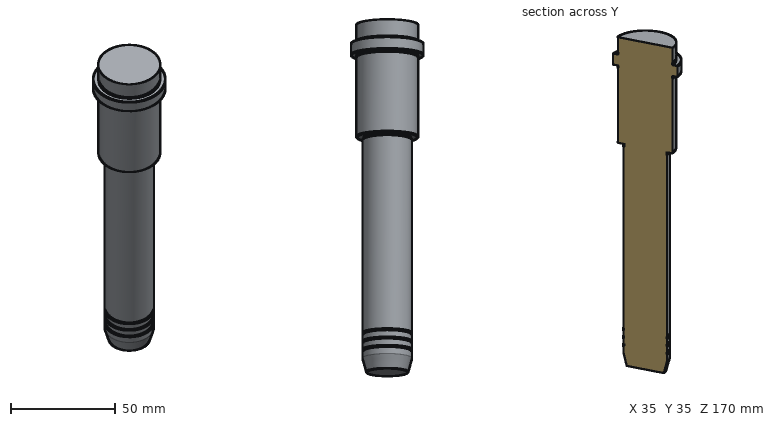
import cadquery as cq
import math

total_length = 170.0
head_length = 9.0
flange_thickness = 6.0
sleeve_end_depth = 55.0
taper_length = 7.0
taper_angle = 15.0

flange_diameter = 35.0
body_diameter = 30.0
shaft_diameter = 24.0

relief_width = 1.0
relief_depth = 0.5
neck_length = 1.0
neck_depth = 0.5
ring_groove_width = 1.0
ring_groove_depth = 0.5
ring_groove_count = 3
ring_groove_pitch = 4.0
first_ring_groove_height = 10.7
flange_chamfer = 0.3
sleeve_chamfer = 0.5
tip_chamfer = 0.3

flange_top = total_length - head_length
flange_bottom = flange_top - flange_thickness
sleeve_bottom = total_length - sleeve_end_depth


def cylinder(diameter, bottom, top):
    return cq.Workplane("XY").workplane(offset=bottom).circle(diameter / 2).extrude(top - bottom)


def revolve_profile(points):
    """Solid of revolution about Z from an outline of (radius, height) points."""
    return cq.Workplane("XZ").polyline(points).close().revolve(360, (0, 0, 0), (0, 1, 0))


def v_groove(diameter, bottom, width, depth):
    """V-section ring to remove from a cylinder of the given diameter."""
    radius = diameter / 2
    profile = [(radius, bottom), (radius - depth, bottom + width / 2), (radius, bottom + width)]
    return revolve_profile(profile)


def make_shaft():
    """Straight shaft with a tapered tip and a broken edge at its end."""
    radius = shaft_diameter / 2
    tip_radius = radius - taper_length * math.tan(math.radians(taper_angle))
    profile = [
        (0, 0),
        (tip_radius, 0),
        (radius, taper_length),
        (radius, sleeve_bottom),
        (0, sleeve_bottom),
    ]
    shaft = revolve_profile(profile)
    return shaft.faces("<Z").edges().chamfer(tip_chamfer)


shaft = make_shaft()
for index in range(ring_groove_count):
    centre = first_ring_groove_height + index * ring_groove_pitch
    bottom = centre - ring_groove_width / 2
    shaft = shaft.cut(v_groove(shaft_diameter, bottom, ring_groove_width, ring_groove_depth))
neck_bottom = sleeve_bottom - neck_length
shaft = shaft.cut(cylinder(shaft_diameter, neck_bottom, sleeve_bottom))
shaft = shaft.union(cylinder(shaft_diameter - 2 * neck_depth, neck_bottom, sleeve_bottom))

body = cylinder(body_diameter, sleeve_bottom, total_length)
body = body.faces("<Z").edges().chamfer(sleeve_chamfer)
for bottom in (flange_top, flange_bottom - relief_width):
    body = body.cut(v_groove(body_diameter, bottom, relief_width, relief_depth))

flange = cylinder(flange_diameter, flange_bottom, flange_top).edges().chamfer(flange_chamfer)

result = shaft.union(body).union(flange)